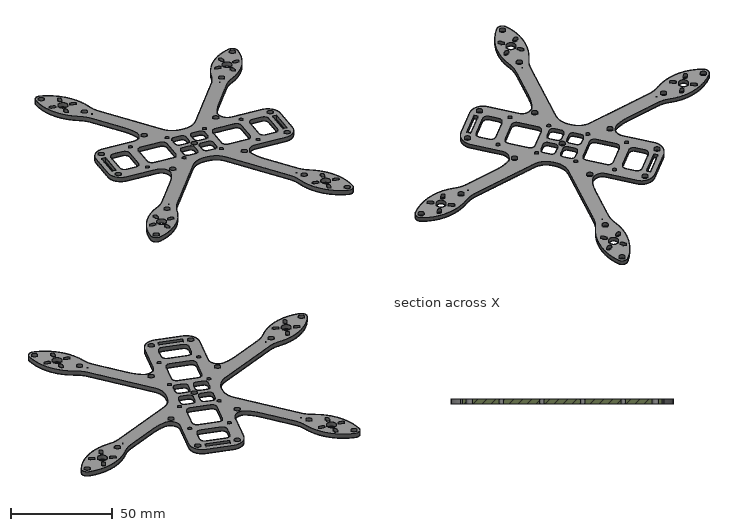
import cadquery as cq
import math

length = 141.7
width = 109.5
thickness = 2.5

body_half_width = 14.0
body_half_length = 50.0
body_corner_radius = 7.0

arm_half_width = 3.8
tip_radius = 3.0
pad_half_width = 7.4
pad_widest_offset = 13.5
pad_neck_radius = 15.0
inner_crotch_radius = 10.0
crotch_radius = 5.0
crotch_centre_y = 26.6
crotch_blend_radius = 25.5

motor_hole_diameter = 5.0
screw_diameter = 3.1
arm_screw_offset = 12.0
locating_hole_diameter = 0.3
locating_hole_offset = 16.3
slot_count = 4
first_slot_angle = 45
slot_width = 2.0
slot_inner_radius = 4.5
slot_outer_radius = 6.0

pin_diameter = 2.0
hole_column_x = 10.0
corner_hole_y = 45.8
pin_rows_y = (10.0, 30.0)
arm_root_hole = (16.9, 19.4)
strap_slot_length = 12.5
strap_slot_width = 2.1
strap_slot_y = 46.3
window_width = 15.5
window_radius = 2.5
small_window_height = 10.0
small_window_y = 37.7
large_window_height = 15.5
large_window_y = 20.1
cross_window_size = 7.5
cross_window_radius = 2.0
cross_window_offset = 5.1

tip_x = length / 2 - tip_radius
tip_y = width / 2 - tip_radius
arm_angle = math.atan2(tip_y, tip_x)
tip_distance = math.hypot(tip_x, tip_y)
motor_distance = tip_distance - arm_screw_offset

SIDES = (1, -1)
QUADRANTS = [(sx, sy) for sx in SIDES for sy in SIDES]


def arm_point(along, across):
    """Plate position of a point given along and across the arm of the +X +Y quadrant."""
    return (
        along * math.cos(arm_angle) - across * math.sin(arm_angle),
        along * math.sin(arm_angle) + across * math.cos(arm_angle),
    )


def toward(start, target, distance):
    """Point at a distance from start, in the direction of target."""
    step = distance / math.dist(start, target)
    return (
        start[0] + (target[0] - start[0]) * step,
        start[1] + (target[1] - start[1]) * step,
    )


def arc_middle(centre, radius, start, end):
    """Middle point of the shorter arc from start to end."""
    chord_middle = ((start[0] + end[0]) / 2, (start[1] + end[1]) / 2)
    return toward(centre, chord_middle, radius)


def quadrant_outline():
    """Quarter of the plate in the +X +Y quadrant, from the centre out along one arm."""
    pad_along = tip_distance - pad_widest_offset
    pad_rise = pad_half_width - tip_radius
    pad_radius = (pad_widest_offset**2 + pad_half_width**2 - tip_radius**2) / (2 * pad_rise)
    pad_centre_across = pad_half_width - pad_radius
    neck_across = arm_half_width + pad_neck_radius
    neck_along = pad_along - math.sqrt(
        (pad_radius + pad_neck_radius) ** 2 - (neck_across - pad_centre_across) ** 2
    )
    tip = (tip_x, tip_y)

    def pad_side(side):
        """Neck start, neck middle, neck end, pad middle and tip contact on one side of the arm."""
        pad_centre = arm_point(pad_along, side * pad_centre_across)
        neck_centre = arm_point(neck_along, side * neck_across)
        neck_start = arm_point(neck_along, side * arm_half_width)
        neck_end = toward(neck_centre, pad_centre, pad_neck_radius)
        tip_contact = toward(pad_centre, tip, pad_radius)
        return (
            neck_start,
            arc_middle(neck_centre, pad_neck_radius, neck_start, neck_end),
            neck_end,
            arc_middle(pad_centre, pad_radius, neck_end, tip_contact),
            tip_contact,
        )

    near = pad_side(-1)
    far = pad_side(1)
    tip_end = arm_point(tip_distance + tip_radius, 0)

    inner_x = body_half_width + inner_crotch_radius
    inner_across = -arm_half_width - inner_crotch_radius
    inner_along = (inner_x + inner_across * math.sin(arm_angle)) / math.cos(arm_angle)
    inner_centre = arm_point(inner_along, inner_across)
    inner_start = (body_half_width, inner_centre[1])
    inner_end = arm_point(inner_along, -arm_half_width)

    crotch_centre = (body_half_width + crotch_radius, crotch_centre_y)
    crotch_along = crotch_centre[0] * math.cos(arm_angle) + crotch_centre[1] * math.sin(arm_angle)
    crotch_across = crotch_centre[1] * math.cos(arm_angle) - crotch_centre[0] * math.sin(arm_angle)
    blend_across = arm_half_width + crotch_blend_radius
    blend_along = crotch_along + math.sqrt(
        (crotch_blend_radius - crotch_radius) ** 2 - (blend_across - crotch_across) ** 2
    )
    blend_centre = arm_point(blend_along, blend_across)
    blend_start = arm_point(blend_along, arm_half_width)
    blend_end = toward(blend_centre, crotch_centre, crotch_blend_radius)
    crotch_end = (body_half_width, crotch_centre_y)

    corner_centre = (body_half_width - body_corner_radius, body_half_length - body_corner_radius)
    corner_start = (body_half_width, corner_centre[1])
    corner_end = (corner_centre[0], body_half_length)

    return (
        cq.Workplane("XY")
        .lineTo(body_half_width, 0)
        .lineTo(*inner_start)
        .threePointArc(arc_middle(inner_centre, inner_crotch_radius, inner_start, inner_end), inner_end)
        .lineTo(*near[0])
        .threePointArc(near[1], near[2])
        .threePointArc(near[3], near[4])
        .threePointArc(tip_end, far[4])
        .threePointArc(far[3], far[2])
        .threePointArc(far[1], far[0])
        .lineTo(*blend_start)
        .threePointArc(arc_middle(blend_centre, crotch_blend_radius, blend_start, blend_end), blend_end)
        .threePointArc(arc_middle(crotch_centre, crotch_radius, blend_end, crotch_end), crotch_end)
        .lineTo(*corner_start)
        .threePointArc(arc_middle(corner_centre, body_corner_radius, corner_start, corner_end), corner_end)
        .lineTo(0, body_half_length)
        .close()
    )


def arm_cutter():
    """Motor hole, mounting slots, screw holes and locating hole of the arm in the +X +Y quadrant."""
    cutter = cq.Workplane("XY").pushPoints([arm_point(motor_distance, 0)])
    cutter = cutter.circle(motor_hole_diameter / 2).extrude(thickness)

    screw_points = [arm_point(motor_distance + side * arm_screw_offset, 0) for side in SIDES]
    screws = cq.Workplane("XY").pushPoints(screw_points).circle(screw_diameter / 2).extrude(thickness)
    locating_hole = (
        cq.Workplane("XY")
        .pushPoints([arm_point(motor_distance - locating_hole_offset, 0)])
        .circle(locating_hole_diameter / 2)
        .extrude(thickness)
    )
    cutter = cutter.union(screws).union(locating_hole)

    slot_middle = (slot_inner_radius + slot_outer_radius) / 2
    slot_length = slot_outer_radius - slot_inner_radius + slot_width
    for slot_index in range(slot_count):
        slot_angle = math.degrees(arm_angle) + first_slot_angle + 360 / slot_count * slot_index
        slot = (
            cq.Workplane("XY")
            .center(slot_middle, 0)
            .slot2D(slot_length, slot_width)
            .extrude(thickness)
            .rotate((0, 0, 0), (0, 0, 1), slot_angle)
            .translate((*arm_point(motor_distance, 0), 0))
        )
        cutter = cutter.union(slot)
    return cutter


def in_four_quadrants(quarter):
    """Copies mirrored across both the X and the Y axis, joined."""
    half = quarter.union(quarter.mirror("YZ"))
    return half.union(half.mirror("XZ"))


def cut_holes(plate, points, diameter):
    """Round through holes of one diameter."""
    return plate.cut(cq.Workplane("XY").pushPoints(points).circle(diameter / 2).extrude(thickness))


def cut_windows(plate, points, size_x, size_y, corner_radius):
    """Rectangular through openings with rounded corners."""
    windows = cq.Workplane("XY").pushPoints(points).rect(size_x, size_y).extrude(thickness)
    return plate.cut(windows.edges("|Z").fillet(corner_radius))


plate = in_four_quadrants(quadrant_outline().extrude(thickness))
plate = plate.cut(in_four_quadrants(arm_cutter()))

screw_points = [(0, 0)]
pin_points = []
for sx, sy in QUADRANTS:
    screw_points.append((sx * hole_column_x, sy * corner_hole_y))
    screw_points.append((sx * arm_root_hole[0], sy * arm_root_hole[1]))
    pin_points += [(sx * hole_column_x, sy * row_y) for row_y in pin_rows_y]
plate = cut_holes(plate, screw_points, screw_diameter)
plate = cut_holes(plate, pin_points, pin_diameter)

cross_points = [(sx * cross_window_offset, sy * cross_window_offset) for sx, sy in QUADRANTS]
plate = cut_windows(plate, cross_points, cross_window_size, cross_window_size, cross_window_radius)
small_points = [(0, sy * small_window_y) for sy in SIDES]
plate = cut_windows(plate, small_points, window_width, small_window_height, window_radius)
large_points = [(0, sy * large_window_y) for sy in SIDES]
plate = cut_windows(plate, large_points, window_width, large_window_height, window_radius)
strap_points = [(0, sy * strap_slot_y) for sy in SIDES]
plate = plate.cut(
    cq.Workplane("XY").pushPoints(strap_points).rect(strap_slot_length, strap_slot_width).extrude(thickness)
)

result = plate.clean()